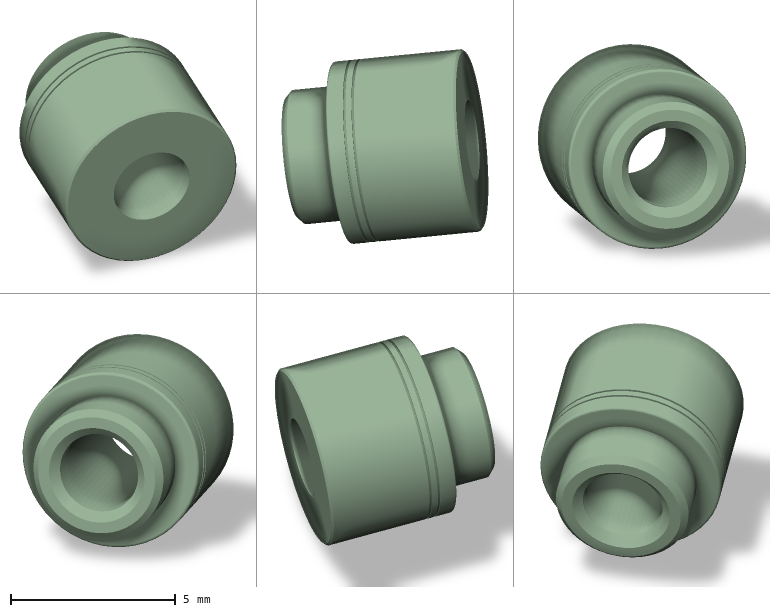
import cadquery as cq

total_length = 5.53
body_diameter = 5.56
body_start = 1.53
shoulder_fillet = 0.085
rear_chamfer = 0.065

nose_diameter = 4.09
nose_chamfer_length = 0.2
nose_chamfer_depth = 0.205

bore_diameter = 2.46
bore_mouth_diameter = 3.0
bore_mouth_length = 0.27

groove_starts = (2.06, 2.325)
groove_width = 0.08
groove_depth = 0.055


def cylinder(diameter, start, end):
    """Solid cylinder along X between two stations."""
    return cq.Workplane("YZ", origin=(start, 0, 0)).circle(diameter / 2).extrude(end - start)


def make_nose():
    nose = cylinder(nose_diameter, 0, body_start)
    return nose.faces("<X").chamfer(nose_chamfer_length, nose_chamfer_depth)


def make_body():
    body = cylinder(body_diameter, body_start, total_length)
    body = body.faces("<X").edges().fillet(shoulder_fillet)
    return body.faces(">X").edges().chamfer(rear_chamfer)


def make_groove(start):
    end = start + groove_width
    outer = cylinder(body_diameter + 2 * groove_depth, start, end)
    return outer.cut(cylinder(body_diameter - 2 * groove_depth, start, end))


def make_bore():
    """Through bore with a conical mouth at the nose end."""
    mouth = (
        cq.Workplane("XY")
        .moveTo(0, 0)
        .lineTo(0, bore_mouth_diameter / 2)
        .lineTo(bore_mouth_length, bore_diameter / 2)
        .lineTo(bore_mouth_length, 0)
        .close()
        .revolve(360, (0, 0, 0), (1, 0, 0))
    )
    return cylinder(bore_diameter, 0, total_length).union(mouth)


result = make_nose().union(make_body())
for groove_start in groove_starts:
    result = result.cut(make_groove(groove_start))
result = result.cut(make_bore())